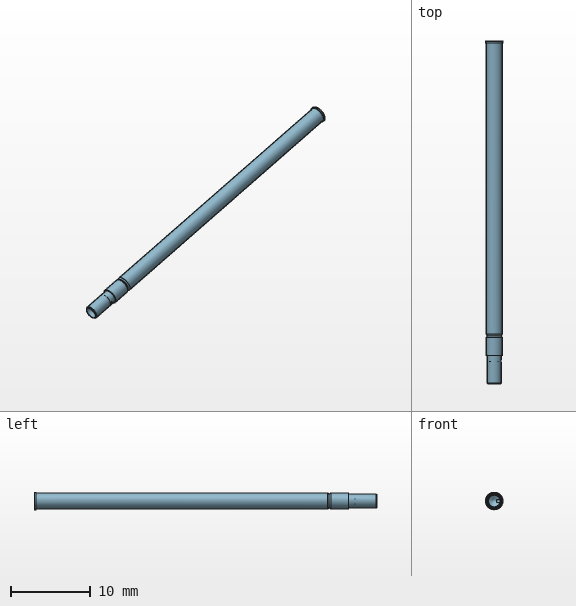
import cadquery as cq

length = 42.85
front_y = -length / 2
back_y = length / 2

flange_diameter = 2.2
body_diameter = 2.0
tip_diameter = 1.75

flange_thickness = 0.2
tip_length = 3.55
tip_chamfer = 0.105

groove_distance = 6.0
groove_width = 0.43
groove_depth = 0.13

bore_diameter = 1.45
bore_depth = 2.8
bore_cone_height = 0.43

vent_diameter = 0.4
vent_offset = 0.1


def revolve_around_axis(profile):
    """Turn a half profile, drawn as (radius, y), around the Y axis."""
    return profile.close().revolve(360, (0, 0, 0), (0, 1, 0))


def make_outside():
    """Stepped pin: tip, grooved body and rear flange."""
    body_radius = body_diameter / 2
    flange_radius = flange_diameter / 2
    tip_radius = tip_diameter / 2
    groove_y = front_y + groove_distance
    flange_y = back_y - flange_thickness
    step_y = front_y + tip_length
    outline = (
        cq.Workplane("XY")
        .moveTo(0, front_y)
        .lineTo(tip_radius - tip_chamfer, front_y)
        .lineTo(tip_radius, front_y + tip_chamfer)
        .lineTo(tip_radius, step_y)
        .lineTo(body_radius, step_y)
        .lineTo(body_radius, groove_y - groove_width / 2)
        .lineTo(body_radius - groove_depth, groove_y)
        .lineTo(body_radius, groove_y + groove_width / 2)
        .lineTo(body_radius, flange_y)
        .lineTo(flange_radius, flange_y)
        .lineTo(flange_radius, back_y)
        .lineTo(0, back_y)
    )
    return revolve_around_axis(outline)


def make_bore():
    """Blind bore entering from the front end."""
    bore_end = front_y + bore_depth
    outline = (
        cq.Workplane("XY")
        .moveTo(0, front_y)
        .lineTo(bore_diameter / 2, front_y)
        .lineTo(bore_diameter / 2, bore_end)
        .lineTo(0, bore_end + bore_cone_height)
    )
    return revolve_around_axis(outline)


def make_vent():
    """Radial hole from the axis outwards in +X."""
    return (
        cq.Workplane("YZ")
        .center(front_y + bore_depth + vent_offset, 0)
        .circle(vent_diameter / 2)
        .extrude(body_diameter)
    )


result = make_outside().cut(make_bore()).cut(make_vent())